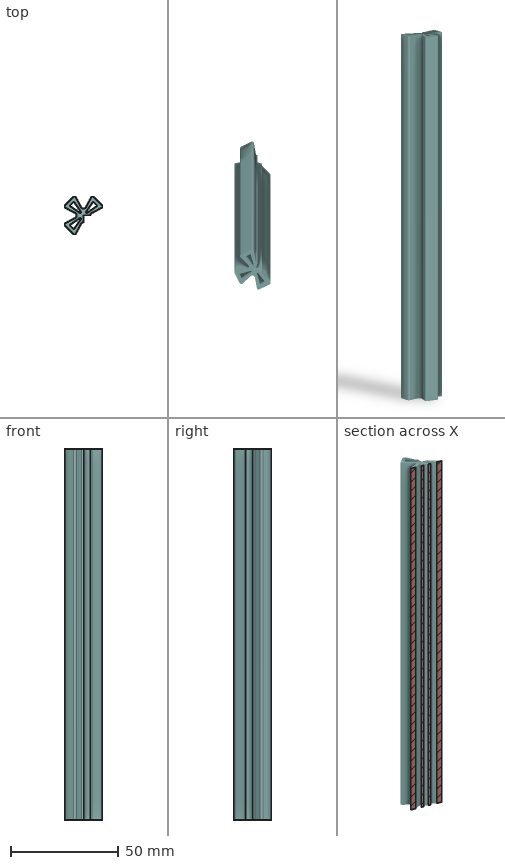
import cadquery as cq
import math

length = 173.0
overall_width = 17.7
flare_angle = 17.0
notch_apex = 1.85
corner_radius = 0.88
notch_radius = 1.22
tip_wall = 1.78
cavity_root = 1.94
cavity_root_width = 0.53
cavity_tip_width = 2.72

diagonal = 45
arm_angles = (diagonal, diagonal + 90, diagonal + 180)

notch_half_angle = math.radians(diagonal - flare_angle)

corner_far = overall_width / 2 - corner_radius
side_at_corner = (corner_far - notch_apex) * math.tan(notch_half_angle)
corner_near = side_at_corner + corner_radius / math.cos(notch_half_angle)

arm_root = notch_apex / math.sqrt(2)
arm_reach = (corner_far + corner_near) / math.sqrt(2) + corner_radius
arm_half_width = arm_root + (arm_reach - arm_root) * math.tan(math.radians(flare_angle))


def turn(body, angle):
    """Rotate a body about the part axis."""
    return body.rotate((0, 0, 0), (0, 0, 1), angle)


def prism(outline):
    """Full-length prism from a closed list of points."""
    return cq.Workplane("XY").polyline(outline).close().extrude(length)


def flared_arm():
    """Arm along +X, widening from the part axis to its rounded tip corners."""
    arm = prism([
        (0, 0),
        (arm_root, -arm_root),
        (arm_reach, -arm_half_width),
        (arm_reach, arm_half_width),
        (arm_root, arm_root),
    ])
    return arm.faces(">X").edges("|Z").fillet(corner_radius)


def arm_cavity():
    """Tapered through hollow inside an arm along +X."""
    cavity_tip = arm_reach - tip_wall
    return prism([
        (cavity_root, -cavity_root_width / 2),
        (cavity_tip, -cavity_tip_width / 2),
        (cavity_tip, cavity_tip_width / 2),
        (cavity_root, cavity_root_width / 2),
    ])


def notch_fillet_half():
    """Half of the fillet in a V notch along +X, from the notch axis to the +Y side."""
    arc_centre = notch_apex + notch_radius / math.sin(notch_half_angle)
    axis_angle = math.pi
    tangent_angle = math.pi / 2 + notch_half_angle
    middle_angle = (axis_angle + tangent_angle) / 2

    def on_arc(angle):
        return (arc_centre + notch_radius * math.cos(angle), notch_radius * math.sin(angle))

    return (
        cq.Workplane("XY")
        .moveTo(notch_apex, 0)
        .lineTo(*on_arc(axis_angle))
        .threePointArc(on_arc(middle_angle), on_arc(tangent_angle))
        .close()
        .extrude(length)
    )


def hollow_arm():
    """Arm along +X with half a notch fillet on both sides and its cavity.

    The half fillets that face the open quadrant end on its flat X and Y faces.
    """
    fillet_half = turn(notch_fillet_half(), -diagonal)
    arm = flared_arm().union(fillet_half).union(fillet_half.mirror("XZ"))
    return arm.cut(arm_cavity())


arm = hollow_arm()
result = turn(arm, arm_angles[0])
for angle in arm_angles[1:]:
    result = result.union(turn(arm, angle))
result = result.clean()